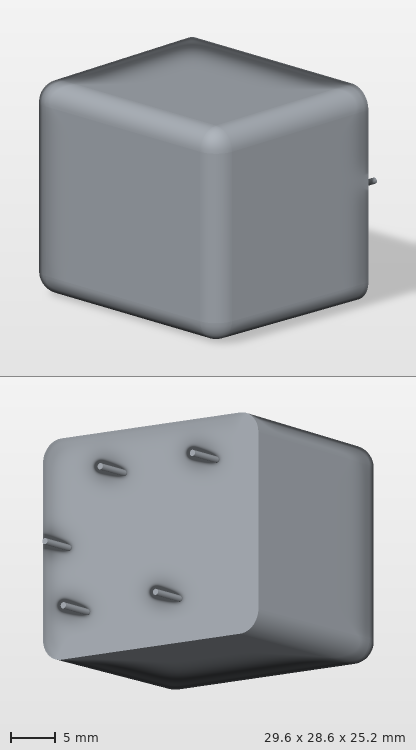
import cadquery as cq

width = 29.62
height = 25.2
depth = 23.95
draft_angle = 0.5
edge_radius = 2.52

rim_width = 1.18
base_thickness = 1.18
base_width = width - 2 * rim_width
base_height = height - 2 * rim_width
base_corner_radius = edge_radius - rim_width

total_depth = 28.6
pin_length = total_depth - depth
pin_diameter = 0.7
row_spacing = 7.6
grid_pitch = row_spacing / 3
first_column_x = -9.1

pin_sites = [(0, 1), (2, -1), (5, 1), (7, -1), (8, 0)]


def make_base_plate():
    """Flat plate with rounded corners, from the rear face into the housing."""
    plate = cq.Workplane("XZ").rect(base_width, base_height).extrude(base_thickness)
    return plate.edges("|Y").fillet(base_corner_radius)


def make_pin(column, row):
    """Round pin that stands on the rear face at one grid site."""
    foot = cq.Plane(
        origin=(first_column_x + column * grid_pitch, 0, row * row_spacing),
        xDir=(0, 0, 1),
        normal=(0, 1, 0),
    )
    return cq.Workplane(foot).circle(pin_diameter / 2).extrude(pin_length)


def make_terminal_base():
    """Base plate and its pins, in one piece."""
    terminal_base = make_base_plate()
    for column, row in pin_sites:
        terminal_base = terminal_base.union(make_pin(column, row))
    return terminal_base


def make_housing():
    """Drafted block, rounded everywhere but at its rear edges, with a recess for the base plate."""
    block = cq.Workplane("XZ").rect(width, height).extrude(depth, taper=draft_angle)
    rounded_block = block.edges("not >Y").fillet(edge_radius)
    return rounded_block.cut(make_base_plate())


housing = make_housing()
terminal_base = make_terminal_base()

result = cq.Compound.makeCompound([housing.val(), terminal_base.val()])